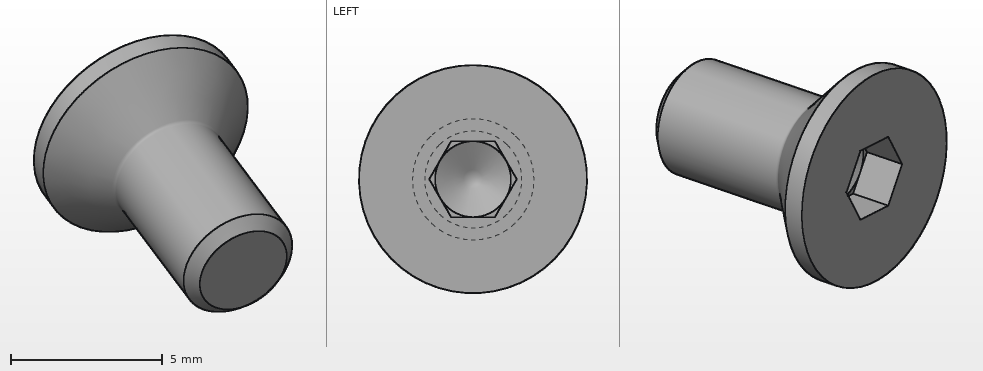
import cadquery as cq
import math

total_length = 8.0
head_diameter = 7.53
rim_thickness = 0.71
shank_diameter = 4.0
tip_chamfer = 0.4
countersink_half_angle = math.radians(45)
neck_fillet_radius = 0.2

socket_across_flats = 2.5
socket_depth = 1.5
socket_bottom_half_angle = math.radians(60)

head_radius = head_diameter / 2
shank_radius = shank_diameter / 2
head_height = rim_thickness + (head_radius - shank_radius) / math.tan(countersink_half_angle)


def make_body():
    """Revolve the half profile about X; the neck between cone and shank is rounded."""
    tangent_length = neck_fillet_radius * math.tan(countersink_half_angle / 2)
    neck_start = (
        head_height - tangent_length * math.cos(countersink_half_angle),
        shank_radius + tangent_length * math.sin(countersink_half_angle),
    )
    neck_end = (head_height + tangent_length, shank_radius)
    mid_angle = countersink_half_angle / 2
    neck_middle = (
        neck_end[0] - neck_fillet_radius * math.sin(mid_angle),
        shank_radius + neck_fillet_radius * (1 - math.cos(mid_angle)),
    )
    profile = (
        cq.Workplane("XZ")
        .moveTo(0, 0)
        .lineTo(0, head_radius)
        .lineTo(rim_thickness, head_radius)
        .lineTo(*neck_start)
        .threePointArc(neck_middle, neck_end)
        .lineTo(total_length - tip_chamfer, shank_radius)
        .lineTo(total_length, shank_radius - tip_chamfer)
        .lineTo(total_length, 0)
        .close()
    )
    return profile.revolve(360, (0, 0, 0), (1, 0, 0))


def make_socket():
    """Hexagonal prism with two flats facing +Z and -Z, ending in a cone."""
    across_corners = socket_across_flats / math.cos(math.radians(30))
    prism = cq.Workplane("YZ").polygon(6, across_corners).extrude(socket_depth)
    cone_radius = socket_across_flats / 2
    cone_height = cone_radius / math.tan(socket_bottom_half_angle)
    cone = (
        cq.Workplane("XZ")
        .moveTo(socket_depth, 0)
        .lineTo(socket_depth, cone_radius)
        .lineTo(socket_depth + cone_height, 0)
        .close()
        .revolve(360, (0, 0, 0), (1, 0, 0))
    )
    return prism.union(cone)


result = make_body().cut(make_socket())